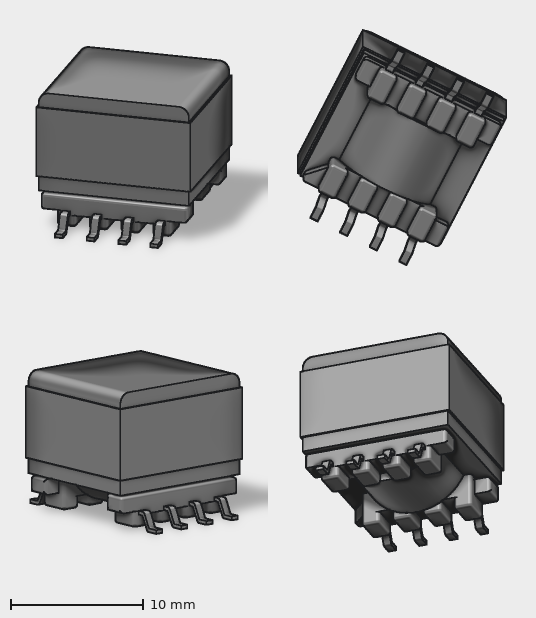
import cadquery as cq
import math

CORE_WIDTH = 11.84
CORE_DEPTH = 10.67
CORE_BOTTOM = 2.9
CORE_TOP = 10.77
CORE_TOP_RADIUS = 0.82
TAPE_THICKNESS = 0.15
TAPE_BOTTOM = 4.08
TAPE_TOP = 9.6

PITCH = 2.5
PER_ROW = 4
FOOT_WIDTH = 1.46
FOOT_BOTTOM = 0.2
NOTCH_TOP = 1.14
EDGE_RADIUS = 0.26
ROW_XS = [(i - (PER_ROW - 1) / 2) * PITCH for i in range(PER_ROW)]

FLANGE_WIDTH = (PER_ROW - 1) * PITCH + FOOT_WIDTH
FLANGE_INNER_Y = 2.9
FLANGE_OUTER_Y = 3.51
SHOULDER_OUTER_Y = 5.29
SHOULDER_WIDTH = 11.55
SHOULDER_BOTTOM = 1.46
SHOULDER_TOP = 2.69
CORNER_CUT = (SHOULDER_WIDTH - FLANGE_WIDTH) / 2

WINDING_RADIUS = 4.28
WINDING_BOTTOM = 0.5

LEAD_WIDTH = 0.61
LEAD_THICKNESS = 0.29
LEAD_TIP_Y = 7.31
LEAD_TOP = SHOULDER_BOTTOM
LEAD_UPPER_BEND_Y = 5.9
LEAD_SLOPE = 64.0
LEAD_OUTER_RADIUS = 0.29
LEAD_INNER_RADIUS = 0.15


def block(width, y_range, z_range):
    """Box centred in X that spans the given Y and Z ranges."""
    y0, y1 = y_range
    z0, z1 = z_range
    box = cq.Workplane("XY").box(width, y1 - y0, z1 - z0, centered=(True, False, False))
    return box.translate((0, y0, z0))


def make_core():
    half_depth = CORE_DEPTH / 2
    half_tape = half_depth + TAPE_THICKNESS
    body = block(CORE_WIDTH, (-half_depth, half_depth), (CORE_BOTTOM, CORE_TOP))
    body = body.faces(">Z").edges("|Y").fillet(CORE_TOP_RADIUS)
    tape = block(CORE_WIDTH + 2 * TAPE_THICKNESS, (-half_tape, half_tape), (TAPE_BOTTOM, TAPE_TOP))
    return body.union(tape)


def make_flange():
    """Upright wall between the winding and the back shoulder."""
    wall = block(FLANGE_WIDTH, (FLANGE_INNER_Y, FLANGE_OUTER_Y), (SHOULDER_BOTTOM, CORE_BOTTOM))
    return wall.faces("<Y").edges("|Z").fillet(EDGE_RADIUS)


def make_foot_row():
    """Slab under the back shoulder with four rounded feet below it."""
    y_range = (FLANGE_INNER_Y, SHOULDER_OUTER_Y)
    row = block(FLANGE_WIDTH, y_range, (NOTCH_TOP, SHOULDER_BOTTOM)).edges("|Z").fillet(EDGE_RADIUS)
    foot = block(FOOT_WIDTH, y_range, (FOOT_BOTTOM, NOTCH_TOP))
    foot = foot.edges("|Z").fillet(EDGE_RADIUS).faces("<Z").edges().fillet(EDGE_RADIUS)
    for x in ROW_XS:
        row = row.union(foot.translate((x, 0, 0)))
    return row


def make_shoulder(corner_cut):
    """Back bar with rounded ends; corner_cut bevels its inner corner on the -X end."""
    bar = block(SHOULDER_WIDTH, (FLANGE_OUTER_Y, SHOULDER_OUTER_Y), (SHOULDER_BOTTOM, SHOULDER_TOP))
    if corner_cut:
        bar = bar.faces("<X").edges("<Y").chamfer(CORNER_CUT)
    ends = bar.faces("<X or >X").edges()
    top_edge = bar.faces(">Y").edges(">Z")
    return bar.newObject(ends.vals() + top_edge.vals()).fillet(EDGE_RADIUS)


def make_lead():
    """Lead at the back, from the shoulder down to the board."""
    slope = math.radians(LEAD_SLOPE)
    miter = LEAD_THICKNESS * math.tan(slope / 2)
    lower_bend_y = LEAD_UPPER_BEND_Y + (LEAD_TOP - LEAD_THICKNESS) / math.tan(slope)
    outline = [
        (SHOULDER_OUTER_Y, LEAD_TOP),
        (LEAD_UPPER_BEND_Y, LEAD_TOP),
        (lower_bend_y, LEAD_THICKNESS),
        (LEAD_TIP_Y, LEAD_THICKNESS),
        (LEAD_TIP_Y, 0),
        (lower_bend_y - miter, 0),
        (LEAD_UPPER_BEND_Y - miter, LEAD_TOP - LEAD_THICKNESS),
        (SHOULDER_OUTER_Y, LEAD_TOP - LEAD_THICKNESS),
    ]
    upper_bend, upper_hollow, lower_hollow, lower_bend = outline[1], outline[6], outline[2], outline[5]
    lead = cq.Workplane("YZ").polyline(outline).close().extrude(LEAD_WIDTH / 2, both=True)
    for corners, radius in (
        ((upper_bend, lower_bend), LEAD_OUTER_RADIUS),
        ((upper_hollow, lower_hollow), LEAD_INNER_RADIUS),
    ):
        for y, z in corners:
            lead = lead.edges(cq.NearestToPointSelector((0, y, z))).fillet(radius)
    return lead


def make_winding():
    cylinder = cq.Workplane("XZ").center(0, WINDING_BOTTOM + WINDING_RADIUS)
    cylinder = cylinder.circle(WINDING_RADIUS).extrude(FLANGE_INNER_Y, both=True)
    below_core = block(2 * WINDING_RADIUS, (-FLANGE_INNER_Y, FLANGE_INNER_Y), (WINDING_BOTTOM, CORE_BOTTOM))
    return cylinder.intersect(below_core)


def make_bobbin():
    """Winding, flanges, shoulders, feet and leads as one solid."""
    lead = make_lead()
    half = make_flange().union(make_foot_row())
    for x in ROW_XS:
        half = half.union(lead.translate((x, 0, 0)))
    back = half.union(make_shoulder(corner_cut=True))
    front = half.union(make_shoulder(corner_cut=False)).mirror("XZ")
    return make_winding().union(back).union(front)


core = make_core()
bobbin = make_bobbin()
result = cq.Compound.makeCompound([core.val(), bobbin.val()])